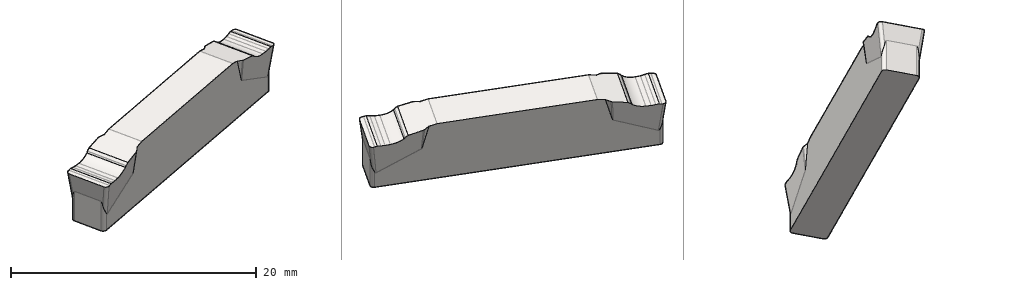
import cadquery as cq

length = 24.85
shank_width = 3.23
height = 5.8
half_length = length / 2
half_shank = shank_width / 2

end_setback = 0.162
shank_corner_radius = 0.32
relief_height = 2.93

cutting_edge_height = 4.6
land_back = (0.4, 4.62)
ridge = (0.62, 4.67)
ridge_foot = (0.92, 4.62)
floor_front = (1.3, 4.57)
floor_back = (1.75, 4.57)
groove_end = (2.88, 4.95)
lip = (2.98, 5.07)
ramp_foot = (3.23, 5.25)
ramp_top = (5.72, height)

head_half_width = 2.01
flank_front = (0.42, 1.45)
flank_back = (4.45, 3.38)
shoulder_base = (5.02, 5.55)
shoulder_crest = (4.57, 5.55)
head_corner_radius = 0.3
shoulder_radius = 0.25

trim_size = 3 * length


def profile_point(point):
    distance, z = point
    return distance - half_length, z


def top_profile(front_foot, back_foot):
    """Closed side outline of one end, from its front face to mid-length, in the YZ plane."""
    outline = cq.Workplane("YZ").polyline(
        [profile_point(p) for p in (
            front_foot, (0, cutting_edge_height), land_back, ridge, ridge_foot, floor_front, floor_back,
        )]
    )
    outline = outline.tangentArcPoint(profile_point(groove_end), relative=False)
    for point in (lip, ramp_foot, ramp_top, (half_length, height), back_foot):
        outline = outline.lineTo(*profile_point(point))
    return outline.close()


def flank_point(side, half_width, point):
    y, z = profile_point(point)
    return cq.Vector(side * half_width, y, z)


def trim_outside(body, side, a, b, c):
    """Remove what lies on the outer side of the plane through three points."""
    normal = (b - a).cross(c - a)
    if normal.x * side < 0:
        normal = normal * -1
    plane = cq.Plane(origin=a.toTuple(), normal=normal.toTuple())
    return body.cut(cq.Workplane(plane).rect(trim_size, trim_size).extrude(trim_size))


def make_head():
    """Tapered cutting head, wider than the shank, at the -Y end."""
    slope = end_setback / (cutting_edge_height - relief_height)
    underside = flank_front[1]
    front_foot = (slope * (cutting_edge_height - underside), underside)
    head = top_profile(front_foot, (half_length, underside)).extrude(shank_width, both=True)
    for side in (-1, 1):
        edge = flank_point(side, head_half_width, (0, cutting_edge_height))
        front = flank_point(side, half_shank, flank_front)
        back = flank_point(side, half_shank, flank_back)
        head = trim_outside(head, side, edge, front, back)

        normal = (front - edge).cross(back - edge)
        y, z = profile_point(shoulder_crest)
        x = edge.x - (normal.y * (y - edge.y) + normal.z * (z - edge.z)) / normal.x
        crest = cq.Vector(x, y, z)
        base = flank_point(side, half_shank, shoulder_base)
        head = trim_outside(head, side, back, base, crest)
        shoulder_edge = cq.selectors.NearestToPointSelector(((back + crest) * 0.5).toTuple())
        head = head.edges(shoulder_edge).fillet(shoulder_radius)
    front_corners = head.faces("<Y").edges("<X or >X")
    return front_corners.fillet(head_corner_radius)


def make_shank():
    """Parallel-sided shank with rounded upright corners and the same top profile."""
    block = (
        cq.Workplane("XY")
        .rect(shank_width, length - 2 * end_setback)
        .extrude(height)
        .edges("|Z")
        .fillet(shank_corner_radius)
    )
    near_half = top_profile((0, 0), (half_length, 0)).extrude(shank_width, both=True)
    return block.intersect(near_half.union(near_half.mirror("XZ")))


head = make_head()
result = make_shank().union(head).union(head.mirror("XZ")).clean()